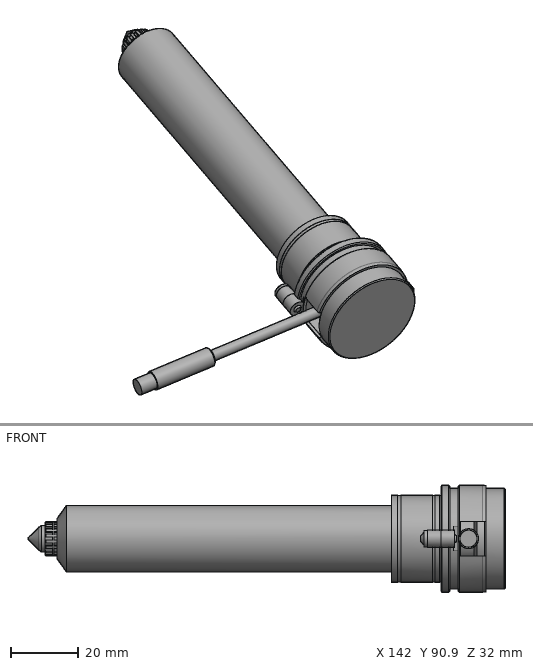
import cadquery as cq
import math

total_length = 142.0
total_width = 90.9

tip_radius = 0.3
cone_radius = 3.4
cone_length = cone_radius - tip_radius
neck_start = 4.0
neck_radius = 4.0
nut_start = 5.0
nut_radius = 5.1
nut_chamfer = 0.3
nut_end = 8.5
flute_count = 18
flute_depth = 0.9
flute_front_length = 2.3
flute_rear_length = 0.9

shoulder_radius = 6.0
shoulder_end = 11.4
tube_radius = 10.0

collar_start = 108.0
collar_diameter = 26.0
collar_radius = collar_diameter / 2
groove_depth = 0.07
groove_spans = [(109.9, 110.9), (120.3, 121.1)]

flange_start = 122.8
flange_end = 125.5
flange_diameter = 32.0
flange_radius = flange_diameter / 2
edge_chamfer = 0.35
relief_length = 0.4
head_radius = 15.0

ring_start = 128.0
ring_end = 136.3
ring_chamfer = 0.4
ring_taper_length = 1.1
ring_taper_depth = 0.1
window_height = 10.2
window_start = 128.7

core_radius = 6.8
core_end = 132.6
ledge_start = 133.6
ledge_radius = 10.2
pocket_end = 135.8
pocket_rim_chamfer = ring_end - pocket_end

flat_start = 126.7
flat_offset = 14.6

lug_end = 140.3
lug_width = 5.7
lug_top = 15.8
lug_chamfer = 0.4

pin_offset = 16.9
pin_radius = 2.5
pin_tip_start = 116.7
pin_tip_radius = 0.7
pin_dome_radius = 2.0
pin_body_start = 117.9
pin_ring_line = 118.9
pin_line_depth = 0.07
boss_end = 127.0
boss_tip_end = 127.5
boss_tip_base_radius = 1.3
boss_tip_radius = 0.9

cable_x = 131.0
cable_radius = 1.7
sleeve_start = 49.4
sleeve_end = 69.6
sleeve_radius = 3.0
sleeve_chamfer = 0.4
plug_end = total_width - flange_radius
plug_radius = 2.5


def turned(profile):
    """Solid of revolution about X from (x, radius) points of its outside."""
    start_x = profile[0][0]
    end_x = profile[-1][0]
    outline = cq.Workplane("XY").polyline([(start_x, 0), *profile, (end_x, 0)]).close()
    return outline.revolve(360, (0, 0, 0), (1, 0, 0))


def tube_between(start, end, outer_radius, inner_radius):
    """Hollow cylinder about the main axis."""
    plane = cq.Workplane("YZ", origin=(start, 0, 0))
    return plane.circle(outer_radius).circle(inner_radius).extrude(end - start)


def box_between(x_span, y_span, height):
    """Box centred on Z = 0 that fills the given X and Y spans."""
    box = cq.Workplane("XY").box(x_span[1] - x_span[0], y_span[1] - y_span[0], height)
    return box.translate((sum(x_span) / 2, sum(y_span) / 2, 0))


def make_flutes(start, end):
    """Radial slots around the nut, as cutting tools."""
    slot_width = math.pi * nut_radius / flute_count
    floor_radius = nut_radius - flute_depth
    slot = box_between((start, end), (floor_radius, nut_radius + flute_depth), slot_width)
    slots = cq.Workplane("XY")
    for index in range(flute_count):
        slots = slots.add(slot.rotate((0, 0, 0), (1, 0, 0), index * 360 / flute_count))
    return slots.combine()


def make_boss():
    """Round boss behind the flange face, with a small tapered end."""
    profile = [
        (flange_start, pin_radius),
        (boss_end, pin_radius),
        (boss_end, boss_tip_base_radius),
        (boss_tip_end, boss_tip_radius),
    ]
    return turned(profile).translate((0, -pin_offset, 0))


def make_core():
    """Stepped core that the pocket leaves standing, flared to the head at its far end."""
    return turned([
        (window_start, core_radius),
        (core_end, core_radius),
        (ledge_start, ledge_radius),
        (pocket_end, ledge_radius),
        (pocket_end, head_radius - pocket_rim_chamfer),
        (ring_end, head_radius),
    ])


def make_pocket():
    """Recess in the head behind the ring window, around the core."""
    pocket = box_between((window_start, ring_end), (-flange_radius, 0), window_height)
    return pocket.cut(make_core())


def make_housing():
    """Nose, tube, collar, flange and head in one piece."""
    profile = [
        (0, tip_radius),
        (cone_length, cone_radius),
        (neck_start, neck_radius),
        (nut_start, neck_radius),
        (nut_start, nut_radius - nut_chamfer),
        (nut_start + nut_chamfer, nut_radius),
        (nut_end, nut_radius),
        (nut_end, shoulder_radius),
        (shoulder_end, tube_radius),
        (collar_start, tube_radius),
        (collar_start, collar_radius),
        (flange_start - relief_length, collar_radius),
        (flange_start - relief_length, collar_radius - groove_depth),
        (flange_start, collar_radius - groove_depth),
        (flange_start, flange_radius - edge_chamfer),
        (flange_start + edge_chamfer, flange_radius),
        (flange_end - edge_chamfer, flange_radius),
        (flange_end, flange_radius - edge_chamfer),
        (flange_end, head_radius),
        (total_length - edge_chamfer, head_radius),
        (total_length, head_radius - edge_chamfer),
    ]
    housing = turned(profile)

    housing = housing.cut(make_flutes(nut_start, nut_start + flute_front_length))
    housing = housing.cut(make_flutes(nut_end - flute_rear_length, nut_end))
    for start, end in groove_spans:
        housing = housing.cut(tube_between(start, end, flange_radius, collar_radius - groove_depth))

    housing = housing.cut(make_pocket())
    flat = box_between((flat_start, ring_start), (-flange_radius, -flat_offset), 2 * head_radius)
    housing = housing.cut(flat)

    lug = box_between((ring_end, lug_end), (0, lug_top), lug_width)
    lug = lug.faces(">X").edges(">Y").chamfer(lug_chamfer)
    return housing.union(lug).union(make_boss())


def make_clamp_ring():
    """Ring around the head, open at the window."""
    profile = [
        (ring_start, flange_radius - ring_chamfer),
        (ring_start + ring_chamfer, flange_radius),
        (ring_end - ring_taper_length, flange_radius),
        (ring_end, flange_radius - ring_taper_depth),
    ]
    ring = turned(profile).cut(turned([(ring_start, head_radius), (ring_end, head_radius)]))
    window = box_between((window_start, ring_end), (-2 * flange_radius, 0), window_height)
    return ring.cut(window)


def make_pin():
    """Pin with a tapered tip and a turned line, standing on the flange."""
    profile = [
        (pin_tip_start, pin_tip_radius),
        (pin_body_start, pin_dome_radius),
        (pin_body_start, pin_radius - pin_line_depth),
        (pin_ring_line, pin_radius - pin_line_depth),
        (pin_ring_line, pin_radius),
        (flange_start, pin_radius),
    ]
    return turned(profile).translate((0, -pin_offset, 0))


def make_cable():
    """Cable from the core out to the plug."""
    profile = [
        (0, cable_radius),
        (sleeve_start, cable_radius),
        (sleeve_start, sleeve_radius - sleeve_chamfer),
        (sleeve_start + sleeve_chamfer, sleeve_radius),
        (sleeve_end, sleeve_radius),
        (sleeve_end, plug_radius),
        (plug_end, plug_radius),
    ]
    cable = turned(profile).rotate((0, 0, 0), (0, 0, 1), -90).translate((cable_x, 0, 0))
    return cable.cut(make_core())


housing = make_housing()
clamp_ring = make_clamp_ring()
pin = make_pin()
cable = make_cable()

result = cq.Compound.makeCompound([housing.val(), clamp_ring.val(), pin.val(), cable.val()])